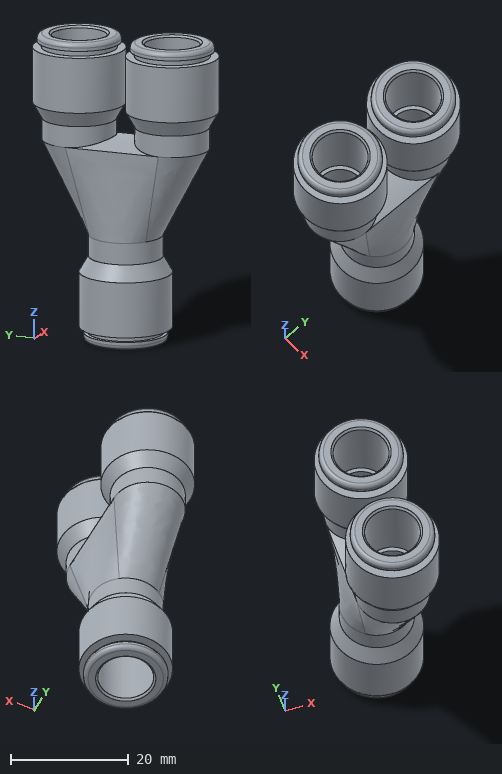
import cadquery as cq
import math

height = 53.1
port_spacing = 17.05
port_y = port_spacing / 2

lip_length = 1.4
groove_end = 2.4
body_end = 12.05
cone_end = 14.8
port_length = 18.6

lip_d = 14.4
groove_d = 12.95
body_d = 16.0
neck_d = 12.8
mouth_d = 10.25
socket_d = 9.5
bore_d = 8.0

lip_round = 0.8
mouth_chamfer = 0.35
socket_depth = body_end

junction_bottom = port_length
junction_top = height - port_length
saddle_rise = 1.05
side_angle = 54.0
neck_r = neck_d / 2


def cylinder(diameter, start, end):
    return cq.Workplane("XY").workplane(offset=start).circle(diameter / 2).extrude(end - start)


def cone(start_d, end_d, start, end):
    return (
        cq.Workplane("XY").workplane(offset=start).circle(start_d / 2)
        .workplane(offset=end - start).circle(end_d / 2).loft(ruled=True)
    )


def port_outside():
    """Port on the Z axis with its mouth at z = 0, running upward."""
    lip = cylinder(lip_d, 0, lip_length).faces("<Z").edges().fillet(lip_round)
    return (
        lip.union(cylinder(groove_d, lip_length, groove_end))
        .union(cylinder(body_d, groove_end, body_end))
        .union(cone(body_d, neck_d, body_end, cone_end))
        .union(cylinder(neck_d, cone_end, port_length))
    )


def port_inside():
    """Chamfered tube socket followed by the narrower flow bore."""
    return (
        cone(mouth_d, socket_d, 0, mouth_chamfer)
        .union(cylinder(socket_d, mouth_chamfer, socket_depth))
        .union(cylinder(bore_d, socket_depth, port_length))
    )


def place_ports(port):
    """One copy at the bottom and two inverted copies at the top."""
    inverted = port.rotate((0, 0, 0), (1, 0, 0), 180)
    placed = port
    for side in (-1, 1):
        placed = placed.union(inverted.translate((0, side * port_y, height)))
    return placed


def four_sided_outline(plane, corner_x, corner_y, side_x, end_y):
    """Outline with bulged or straight X sides and round Y ends."""
    outline = plane.moveTo(corner_x, -corner_y)
    if side_x > corner_x:
        outline = outline.threePointArc((side_x, 0), (corner_x, corner_y))
    else:
        outline = outline.lineTo(corner_x, corner_y)
    outline = outline.threePointArc((0, end_y), (-corner_x, corner_y))
    if side_x > corner_x:
        outline = outline.threePointArc((-side_x, 0), (-corner_x, -corner_y))
    else:
        outline = outline.lineTo(-corner_x, -corner_y)
    return outline.threePointArc((0, -end_y), (corner_x, -corner_y)).close()


def junction():
    """Blend from the round lower neck to the slot shape holding both upper necks."""
    angle = math.radians(side_angle)
    lower = four_sided_outline(
        cq.Workplane("XY").workplane(offset=junction_bottom),
        neck_r * math.cos(angle), neck_r * math.sin(angle), neck_r, neck_r,
    )
    upper = four_sided_outline(
        lower.workplane(offset=junction_top - junction_bottom),
        neck_r, port_y, neck_r, port_y + neck_r,
    )
    return upper.loft(ruled=True)


def saddle():
    """Shallow arched web between the two upper necks."""
    return (
        cq.Workplane("XZ").moveTo(-neck_r, junction_top)
        .threePointArc((0, junction_top + saddle_rise), (neck_r, junction_top))
        .close().extrude(port_y, both=True)
    )


def branch_passage(side):
    """Oblique round passage from the lower bore to one upper bore."""
    return (
        cq.Workplane("XY").workplane(offset=junction_bottom).circle(bore_d / 2)
        .workplane(offset=junction_top - junction_bottom).center(0, side * port_y)
        .circle(bore_d / 2).loft(ruled=True)
    )


result = place_ports(port_outside()).union(junction()).union(saddle())
result = result.cut(place_ports(port_inside()))
for branch_side in (-1, 1):
    result = result.cut(branch_passage(branch_side))